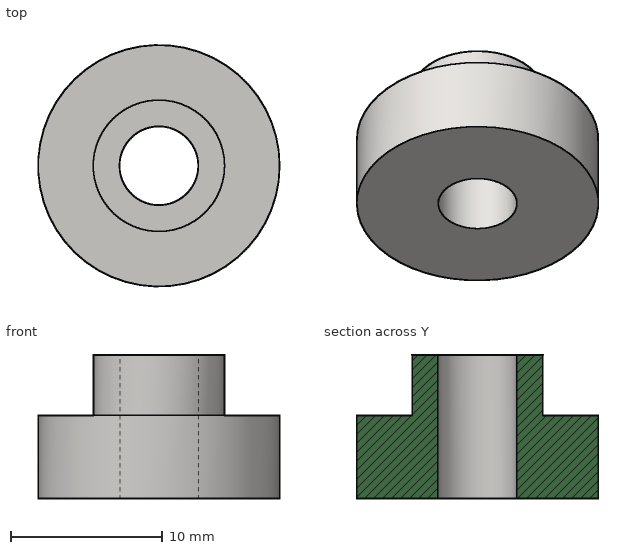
import cadquery as cq

flange_diameter = 16.0
flange_height = 5.5
boss_diameter = 8.7
total_height = 9.5
bore_diameter = 5.2

boss_height = total_height - flange_height


def make_flange():
    """Wide disc resting on the XY plane, centred on the Z axis."""
    return cq.Workplane("XY").circle(flange_diameter / 2).extrude(flange_height)


def add_boss(body):
    """Narrow cylinder standing on the flange."""
    return body.faces(">Z").workplane().circle(boss_diameter / 2).extrude(boss_height)


def cut_bore(body):
    """Plain bore through the full height."""
    return body.faces(">Z").workplane().hole(bore_diameter)


result = cut_bore(add_boss(make_flange()))